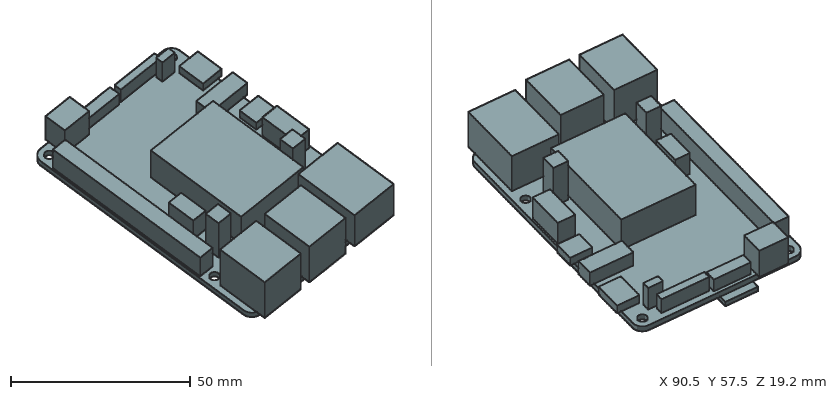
import cadquery as cq


board_length = 85.0
board_width = 56.0
board_thickness = 2.0
corner_radius = 3.3

hole_diameter = 3.0
hole_inset = 3.35
front_right_hole_x = 67.2
back_right_hole_x = 61.45

right_overhang = 3.0
back_overhang = 1.45
left_jack_overhang = 1.3
card_overhang = 2.5
right_face = board_length + right_overhang
back_face = board_width + back_overhang

pin_row_width = 5.0
pillar_height = 14.9
pin_row_height = 8.05
port_depth = 7.5
port_height = 3.0
inner_front = 9.0


def component(left, front, length, width, height):
    """Block standing on the top face of the board."""
    return cq.Workplane("XY").box(length, width, height, centered=False).translate((left, front, 0))


def right_edge_connector(front, length, width, height):
    """Block whose right face is flush with the connector line past the right edge."""
    return component(right_face - length, front, length, width, height)


def back_edge_connector(left, length, width, height):
    """Block whose back face is flush with the connector line past the back edge."""
    return component(left, back_face - width, length, width, height)


def make_board():
    """Flat board with rounded corners and four mounting holes."""
    back_hole_y = board_width - hole_inset
    hole_centers = [
        (hole_inset, hole_inset),
        (hole_inset, back_hole_y),
        (front_right_hole_x, hole_inset),
        (back_right_hole_x, back_hole_y),
    ]
    plate = cq.Workplane("XY").box(board_length, board_width, board_thickness, centered=False)
    plate = plate.edges("|Z").fillet(corner_radius)
    holes = cq.Workplane("XY").pushPoints(hole_centers).circle(hole_diameter / 2).extrude(board_thickness)
    return plate.cut(holes).translate((0, 0, -board_thickness))


def make_memory_card():
    """Thin card under the board, standing out past the left edge."""
    length, width, thickness = 14.9, 11.0, 1.7
    front = 17.65
    card = cq.Workplane("XY").box(length, width, thickness, centered=False)
    return card.translate((-card_overhang, front, -board_thickness - thickness))


def make_right_edge_connectors():
    """Two equal USB stacks and the network socket behind them."""
    usb_length, usb_width, usb_height = 17.3, 14.6, 15.5
    usb_fronts = (2.0, 20.0)
    stacks = [right_edge_connector(front, usb_length, usb_width, usb_height) for front in usb_fronts]
    network_socket = right_edge_connector(front=38.2, length=21.7, width=15.8, height=13.5)
    return stacks + [network_socket]


def make_back_edge_connectors():
    """Two low ports with a deeper and taller one between them."""
    return [
        back_edge_connector(left=8.9, length=9.2, width=port_depth, height=port_height),
        back_edge_connector(left=22.35, length=5.7, width=14.7, height=5.1),
        back_edge_connector(left=32.2, length=6.5, width=port_depth, height=port_height),
    ]


def make_left_edge_components():
    """Tall jack, two ribbon cable sockets and a slim plug along the left edge."""
    return [
        component(left=-left_jack_overhang, front=6.6, length=7.5, width=9.8, height=10.1),
        component(left=1.1, front=17.65, length=3.6, width=12.5, height=4.5),
        component(left=2.0, front=31.0, length=2.4, width=16.1, height=5.3),
        component(left=5.25, front=44.4, length=2.4, width=pin_row_width, height=8.3),
    ]


def make_inner_components():
    """Processor block, pin headers and two square pillars."""
    processor = component(left=29.5, front=17.0, length=34.9, width=25.1, height=11.7)
    long_header = component(left=7.4, front=0.5, length=57.0, width=pin_row_width, height=pin_row_height)
    short_header = component(
        left=44.2, front=inner_front, length=9.5, width=pin_row_width, height=pin_row_height
    )
    back_header = component(left=41.45, front=49.5, length=12.5, width=5.9, height=pin_row_height)
    pillar_corners = ((58.5, inner_front), (54.6, 43.0))
    pillars = [
        component(left, front, pin_row_width, pin_row_width, pillar_height)
        for left, front in pillar_corners
    ]
    return [processor, long_header, short_header, back_header] + pillars


components = (
    make_right_edge_connectors()
    + make_back_edge_connectors()
    + make_left_edge_components()
    + make_inner_components()
)

result = make_board().union(make_memory_card())
for block in components:
    result = result.union(block)